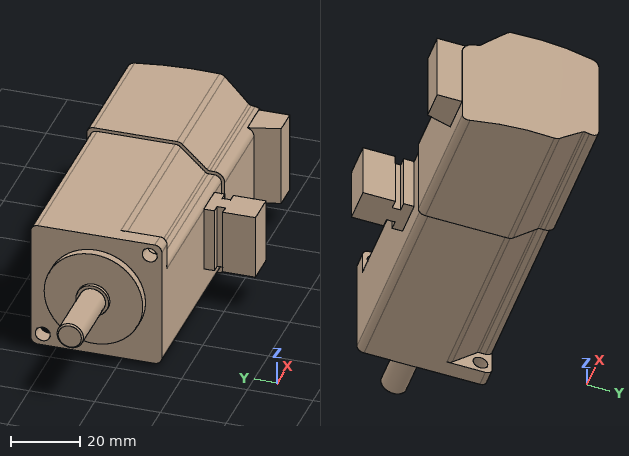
import cadquery as cq

collar_x = 21.3
pilot_x = 22.4
flange_x = 24.9
body_x = 29.8
cover_x = 80.9
cover_side_x = 119.0
rear_x = 121.5

shaft_diameter = 8.0
collar_diameter = 10.0
tip_chamfer = 0.5

pilot_diameter = 30.0
flange_side = 40.0
mount_hole_diameter = 4.5
mount_hole_offset = 16.3

cover_side = 42.0
corner_radius = 2.2
cover_step = (cover_side - flange_side) / 2
body_ridge_y = 6.9
body_valley_y = 15.5
body_ledge_z = 11.9
slope_shift = 0.5
ridge_radius = 2.4
valley_radius = 1.2

plug_x = 64.4
plug_length = 10.0
plug_height = 20.2
plug_end_y = -35.7
waist_start_y = -23.2
waist_end_y = -25.8
waist_depth = 2.5

socket_root_x = 108.0
socket_tip_x = 110.5
socket_end_x = 118.7
socket_root_y = -19.2
socket_tip_y = -28.7
socket_height = 25.3


def axial_disc(diameter, start, end):
    return cq.Workplane("YZ", origin=(start, 0, 0)).circle(diameter / 2).extrude(end - start)


def make_shaft():
    """Chamfered output shaft with a collar that rests on the pilot face."""
    rod = axial_disc(shaft_diameter, 0, pilot_x).faces("<X").chamfer(tip_chamfer)
    return rod.union(axial_disc(collar_diameter, collar_x, pilot_x))


def fillet_corners(prism, x, corners, radius):
    """Round the lengthwise edges through the given corners and their half-turn copies."""
    for y, z in corners:
        for sign in (1, -1):
            prism = prism.edges("|X").edges(cq.NearestToPointSelector((x, sign * y, sign * z)))
            prism = prism.fillet(radius)
    return prism


def make_relieved_prism(start, end, side, ridge_y, valley_y, ledge_z, ledge_radius):
    """Square prism with sloped reliefs along two diagonally opposite corners."""
    half = side / 2
    ridge = (-ridge_y, half)
    valley = (-valley_y, ledge_z)
    ledge = (-half, ledge_z)
    square_corner = (half, half)
    half_outline = [square_corner, ridge, valley, ledge]
    outline = half_outline + [(-y, -z) for y, z in half_outline]
    prism = cq.Workplane("YZ", origin=(start, 0, 0)).polyline(outline).close().extrude(end - start)
    middle = (start + end) / 2
    prism = fillet_corners(prism, middle, [square_corner], corner_radius)
    prism = fillet_corners(prism, middle, [ledge], ledge_radius)
    prism = fillet_corners(prism, middle, [ridge], ridge_radius)
    return fillet_corners(prism, middle, [valley], valley_radius)


def make_flange():
    """Square mounting plate with a round pilot and two diagonal mounting holes."""
    plate = cq.Workplane("YZ", origin=(flange_x, 0, 0)).rect(flange_side, flange_side)
    plate = plate.extrude(body_x - flange_x).edges("|X").fillet(corner_radius)
    holes = cq.Workplane("YZ", origin=(flange_x, 0, 0))
    holes = holes.pushPoints([
        (-mount_hole_offset, mount_hole_offset),
        (mount_hole_offset, -mount_hole_offset),
    ])
    holes = holes.circle(mount_hole_diameter / 2).extrude(body_x - flange_x)
    return plate.cut(holes).union(axial_disc(pilot_diameter, pilot_x, flange_x))


def make_cover():
    """Rear cover, with its end face bowed about a vertical axis."""
    cover = make_relieved_prism(
        cover_x, rear_x, cover_side,
        body_ridge_y + slope_shift, body_valley_y + slope_shift,
        body_ledge_z + cover_step, corner_radius + cover_step,
    )
    half = cover_side / 2
    bowed_plan = (
        cq.Workplane("XY")
        .moveTo(cover_x, -half)
        .lineTo(cover_side_x, -half)
        .threePointArc((rear_x, 0), (cover_side_x, half))
        .lineTo(cover_x, half)
        .close()
        .extrude(half, both=True)
    )
    return cover.intersect(bowed_plan)


def make_plug():
    """Side connector, narrowed by a notch in each flank."""
    half_length = plug_length / 2
    face_y = -flange_side / 2
    flank = [
        (half_length, face_y),
        (half_length, waist_start_y),
        (half_length - waist_depth, waist_start_y),
        (half_length - waist_depth, waist_end_y),
        (half_length, waist_end_y),
        (half_length, plug_end_y),
    ]
    outline = flank + [(-x, y) for x, y in reversed(flank)]
    plan = cq.Workplane("XY", origin=(plug_x + half_length, 0, 0)).polyline(outline).close()
    return plan.extrude(plug_height / 2, both=True)


def make_socket():
    """Rear connector, tapered towards its outer face."""
    plan = cq.Workplane("XY").polyline([
        (socket_root_x, socket_root_y),
        (socket_tip_x, socket_tip_y),
        (socket_end_x, socket_tip_y),
        (socket_end_x, socket_root_y),
    ]).close()
    return plan.extrude(socket_height / 2, both=True)


def make_housing():
    body = make_relieved_prism(
        body_x, cover_x, flange_side,
        body_ridge_y, body_valley_y, body_ledge_z, corner_radius,
    )
    housing = make_flange().union(body).union(make_cover())
    return housing.union(make_plug()).union(make_socket())


shaft = make_shaft()
housing = make_housing()
result = cq.Compound.makeCompound([housing.val(), shaft.val()])